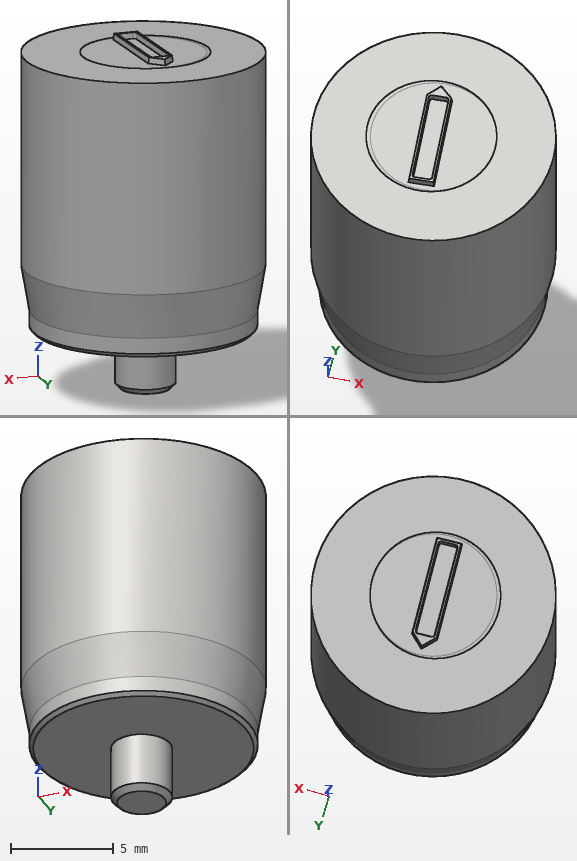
import cadquery as cq

pin_projection = 3.0
housing_top = 17.0
rim_height = 1.0
taper_height = 2.3
rim_top = pin_projection + rim_height
taper_top = rim_top + taper_height

housing_diameter = 12.0
rim_diameter = 11.2
rim_chamfer = 0.2

rotor_offset = -0.1
head_diameter = 6.4
head_depth = 5.0
face_diameter = 6.2
pin_diameter = 3.0
pin_chamfer = 0.3
head_bottom = housing_top - head_depth

arrow_angle = 3.0
arrow_height = 0.3
arrow_draft = 8.0
arrow_width = 1.28
arrow_tail = -2.82
arrow_shoulder = 2.15
arrow_tip = arrow_shoulder + arrow_width / 2
window_width = 0.9
window_bottom = -2.61
window_top = 2.1
window_corner_radius = 0.12


def cylinder(diameter, bottom, top, x=0.0):
    """Upright cylinder between two heights, its axis at the given X."""
    return cq.Workplane("XY", origin=(x, 0, bottom)).circle(diameter / 2).extrude(top - bottom)


def make_housing():
    """Turned sleeve with a tapered foot and a stepped bore for the rotor."""
    outer_radius = housing_diameter / 2
    rim_radius = rim_diameter / 2
    body = (
        cq.Workplane("XZ")
        .moveTo(0, pin_projection)
        .lineTo(rim_radius - rim_chamfer, pin_projection)
        .lineTo(rim_radius, pin_projection + rim_chamfer)
        .lineTo(rim_radius, rim_top)
        .lineTo(outer_radius, taper_top)
        .lineTo(outer_radius, housing_top)
        .lineTo(0, housing_top)
        .close()
        .revolve(360, (0, 0, 0), (0, 1, 0))
    )
    head_bore = cylinder(head_diameter, head_bottom, housing_top, rotor_offset)
    pin_bore = cylinder(pin_diameter, pin_projection, head_bottom, rotor_offset)
    return body.cut(head_bore).cut(pin_bore)


def make_arrow():
    """Pointed frame with drafted walls, standing on the rotor face."""
    half_width = arrow_width / 2
    face = cq.Workplane("XY", origin=(rotor_offset, 0, housing_top))
    outline = (
        face.moveTo(-half_width, arrow_tail)
        .lineTo(half_width, arrow_tail)
        .lineTo(half_width, arrow_shoulder)
        .lineTo(0, arrow_tip)
        .lineTo(-half_width, arrow_shoulder)
        .close()
        .extrude(arrow_height, taper=arrow_draft)
    )
    window_sketch = (
        cq.Sketch()
        .rect(window_width, window_top - window_bottom)
        .vertices()
        .fillet(window_corner_radius)
    )
    window = (
        face.center(0, (window_top + window_bottom) / 2)
        .placeSketch(window_sketch)
        .extrude(arrow_height, taper=-arrow_draft)
    )
    pivot = (rotor_offset, 0, 0)
    pivot_end = (rotor_offset, 0, 1)
    return outline.cut(window).rotate(pivot, pivot_end, arrow_angle)


def make_rotor():
    """Headed pin carrying the arrow; the round face seam touches the head edge on the +X side."""
    pin = cylinder(pin_diameter, 0, head_bottom, rotor_offset).faces("<Z").chamfer(pin_chamfer)
    head = cylinder(head_diameter, head_bottom, housing_top, rotor_offset)
    face_core = cylinder(face_diameter, head_bottom, housing_top)
    seamed_head = head.union(face_core, clean=False)
    return seamed_head.union(pin, clean=False).union(make_arrow(), clean=False)


housing = make_housing()
rotor = make_rotor()

result = cq.Compound.makeCompound([housing.solids().val(), rotor.solids().val()])